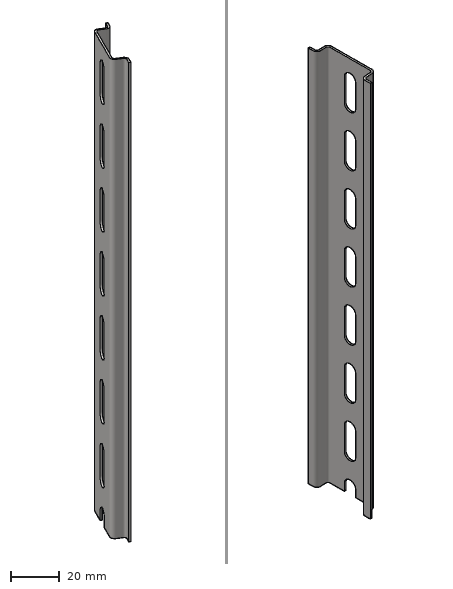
import cadquery as cq

rail_length = 225.0
rail_width = 35.0
rail_depth = 7.5

sheet_thickness = 1.0
channel_width = 27.0
inner_bend_radius = 1.1
outer_bend_radius = inner_bend_radius + sheet_thickness

slot_count = 8
slot_width = 6.3
slot_length = 20.0
slot_pitch = rail_length / 7.5
first_slot_from_top = 17.5


def hat_section():
    """Constant-thickness hat outline: web at the front (Y = 0), flanges behind."""
    outer_wall = channel_width / 2
    inner_wall = outer_wall - sheet_thickness
    flange_front = rail_depth - sheet_thickness
    flange_edge = rail_width / 2
    return (
        cq.Workplane("XY")
        .moveTo(-flange_edge, flange_front)
        .lineTo(-outer_wall, flange_front)
        .lineTo(-outer_wall, 0)
        .lineTo(outer_wall, 0)
        .lineTo(outer_wall, flange_front)
        .lineTo(flange_edge, flange_front)
        .lineTo(flange_edge, rail_depth)
        .lineTo(inner_wall, rail_depth)
        .lineTo(inner_wall, sheet_thickness)
        .lineTo(-inner_wall, sheet_thickness)
        .lineTo(-inner_wall, rail_depth)
        .lineTo(-flange_edge, rail_depth)
        .close()
    )


def bend_edges(wall_x, y):
    """Selector for the pair of long bend edges at X = +/-wall_x and the given Y."""
    margin = sheet_thickness / 4
    selectors = [
        cq.selectors.BoxSelector(
            (x - margin, y - margin, 0),
            (x + margin, y + margin, rail_length),
        )
        for x in (-wall_x, wall_x)
    ]
    return selectors[0] + selectors[1]


def bent_rail():
    """Extruded section with concentric inside and outside bends."""
    outer_wall = channel_width / 2
    inner_wall = outer_wall - sheet_thickness
    bends = (
        (outer_wall, 0, outer_bend_radius),
        (inner_wall, sheet_thickness, inner_bend_radius),
        (inner_wall, rail_depth, outer_bend_radius),
        (outer_wall, rail_depth - sheet_thickness, inner_bend_radius),
    )
    rail = hat_section().extrude(rail_length)
    for wall_x, y, radius in bends:
        rail = rail.edges("|Z").edges(bend_edges(wall_x, y)).fillet(radius)
    return rail


def slot_cutters():
    """Round-ended slots passing through the web."""
    first_centre = rail_length - first_slot_from_top
    centres = [(0, first_centre - i * slot_pitch) for i in range(slot_count)]
    return (
        cq.Workplane("XZ")
        .pushPoints(centres)
        .slot2D(slot_length, slot_width, angle=90)
        .extrude(rail_depth, both=True)
    )


result = bent_rail().cut(slot_cutters())